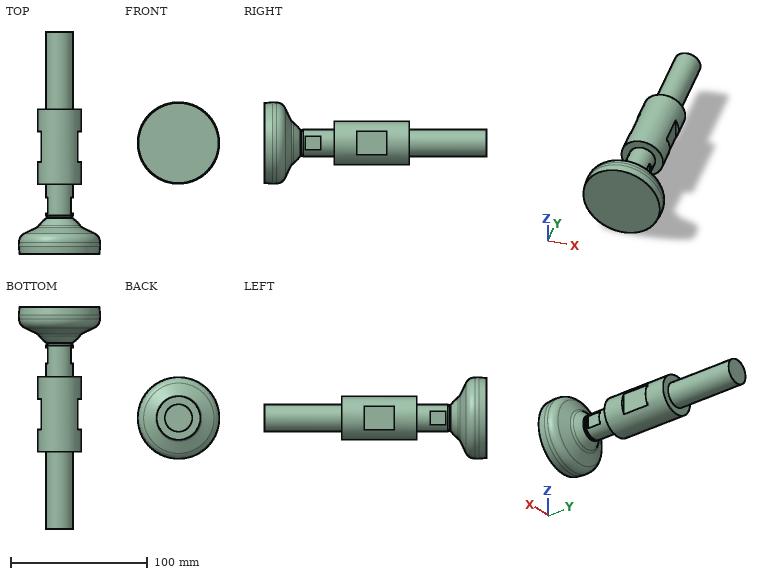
import cadquery as cq
import math

total_length = 163.0

foot_radius = 30.0
sole_radius = 29.3
draft_height = 5.9
rim_height = 8.8
rim_radius = 29.8
shoulder_round = 7.2
cone_angle = math.radians(26)
waist_radius = 16.8
dome_radius = 15.2
dome_height = 21.2
dome_middle_radius = 12.9
dome_middle_height = 23.8
collar_radius = 9.8
collar_base = 26.2
foot_height = 27.0

rod_radius = 10.02
neck_radius = 8.5
neck_length = 0.2
chamfer_height = 1.3
rod_flat_start = 30.0
rod_flat_length = 11.4
rod_across_flats = 17.3

sleeve_radius = 16.0
sleeve_start = 51.2
sleeve_length = 55.1
sleeve_flat_length = 22.2
sleeve_across_flats = 27.0


def revolve_about_y(profile):
    """Turn a closed radius/height profile in the XY plane about the Y axis."""
    return profile.close().revolve(360, (0, 0, 0), (0, 1, 0))


def cut_flats(body, radius, across_flats, start, length):
    """Mill two opposite flats, facing -X and +X, over a stretch of a round body."""
    depth = radius - across_flats / 2
    for side in (-1, 1):
        cutter = cq.Workplane("XY").box(depth, length, 2 * radius)
        middle_x = side * (across_flats / 2 + depth / 2)
        body = body.cut(cutter.translate((middle_x, start + length / 2, 0)))
    return body


def make_foot():
    """Bell-shaped foot with a tapered sole edge and a short collar on top."""
    shoulder_radius = rim_radius - shoulder_round * (1 - math.sin(cone_angle))
    shoulder_height = rim_height + shoulder_round * math.cos(cone_angle)
    waist_height = shoulder_height + (shoulder_radius - waist_radius) * math.tan(cone_angle)
    arc_middle_angle = (math.pi / 2 - cone_angle) / 2
    arc_middle = (
        rim_radius - shoulder_round * (1 - math.cos(arc_middle_angle)),
        rim_height + shoulder_round * math.sin(arc_middle_angle),
    )
    profile = (
        cq.Workplane("XY")
        .lineTo(sole_radius, 0)
        .lineTo(foot_radius, draft_height)
        .lineTo(rim_radius, rim_height)
        .threePointArc(arc_middle, (shoulder_radius, shoulder_height))
        .lineTo(waist_radius, waist_height)
        .tangentArcPoint((dome_radius, dome_height), relative=False)
        .threePointArc((dome_middle_radius, dome_middle_height), (collar_radius, collar_base))
        .lineTo(collar_radius, foot_height)
        .lineTo(0, foot_height)
    )
    return revolve_about_y(profile)


def make_rod():
    """Long rod standing on the foot, with a chamfered neck and wrench flats."""
    chamfer_start = foot_height + neck_length
    profile = (
        cq.Workplane("XY")
        .moveTo(0, foot_height)
        .lineTo(neck_radius, foot_height)
        .lineTo(neck_radius, chamfer_start)
        .lineTo(rod_radius, chamfer_start + chamfer_height)
        .lineTo(rod_radius, total_length)
        .lineTo(0, total_length)
    )
    rod = revolve_about_y(profile)
    return cut_flats(rod, rod_radius, rod_across_flats, rod_flat_start, rod_flat_length)


def make_sleeve():
    """Sleeve around the rod, with wrench flats halfway along its length."""
    sleeve = (
        cq.Workplane("XZ", origin=(0, sleeve_start, 0))
        .circle(sleeve_radius)
        .circle(rod_radius)
        .extrude(-sleeve_length)
    )
    flat_start = sleeve_start + (sleeve_length - sleeve_flat_length) / 2
    return cut_flats(sleeve, sleeve_radius, sleeve_across_flats, flat_start, sleeve_flat_length)


foot = make_foot()
rod = make_rod()
sleeve = make_sleeve()

result = cq.Compound.makeCompound([foot.val(), rod.val(), sleeve.val()])